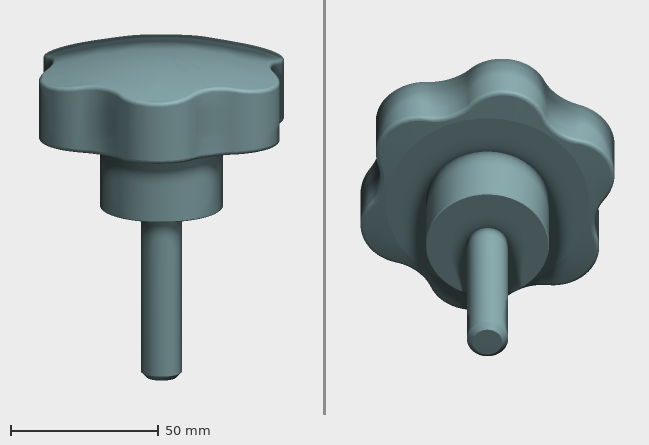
import cadquery as cq
import math

total_height = 115.0
boss_bottom = 60.0
head_bottom = 86.1

shank_diameter = 14.0
shank_chamfer = 2.0
boss_diameter = 42.0
boss_chamfer = 0.3

lobe_count = 6
tip_radius = 45.0
lobe_radius = 15.2
valley_radius = 37.3

top_edge_height = 108.3
underside_edge_height = 87.0
underside_flat_radius = 34.5
top_edge_fillet = 1.4
underside_edge_fillet = 1.4
underside_tolerance = 0.01


def polar(radius, angle):
    """Point at a given distance and angle (radians) from the axis."""
    return (radius * math.cos(angle), radius * math.sin(angle))


def lobed_outline():
    """Closed outline of convex lobes joined by tangent concave arcs."""
    half_pitch = math.pi / lobe_count
    lobe_center = tip_radius - lobe_radius
    along = lobe_center * math.cos(half_pitch)
    across = lobe_center * math.sin(half_pitch)
    gap = valley_radius - along
    scallop_radius = (gap**2 + across**2 - lobe_radius**2) / (2 * (lobe_radius - gap))
    scallop_center = valley_radius + scallop_radius
    lobe_share = lobe_radius / (lobe_radius + scallop_radius)
    joint_x = along + (scallop_center - along) * lobe_share
    joint_y = across * (1 - lobe_share)
    joint_radius = math.hypot(joint_x, joint_y)
    joint_angle = math.atan2(joint_y, joint_x)

    outline = cq.Workplane("XY").workplane(offset=boss_bottom)
    outline = outline.moveTo(*polar(joint_radius, -joint_angle))
    for index in range(lobe_count):
        valley = 2 * half_pitch * index
        lobe = valley + half_pitch
        next_valley = lobe + half_pitch
        outline = outline.threePointArc(
            polar(valley_radius, valley), polar(joint_radius, valley + joint_angle)
        )
        outline = outline.threePointArc(
            polar(tip_radius, lobe), polar(joint_radius, next_valley - joint_angle)
        )
    return outline.close()


def grip_envelope():
    """Round body with the domed top and coned underside that bound the grip."""
    sag = total_height - top_edge_height
    dome_radius = (tip_radius**2 + sag**2) / (2 * sag)
    dome = cq.Workplane("XY").sphere(dome_radius).translate((0, 0, total_height - dome_radius))

    envelope_radius = 1.1 * tip_radius
    cone_slope = (underside_edge_height - head_bottom) / (tip_radius - underside_flat_radius)
    rim_height = head_bottom + cone_slope * (envelope_radius - underside_flat_radius)
    profile = cq.Workplane("XZ").polyline(
        [
            (0, head_bottom),
            (underside_flat_radius, head_bottom),
            (envelope_radius, rim_height),
            (envelope_radius, total_height),
            (0, total_height),
        ]
    )
    return profile.close().revolve(360, (0, 0, 0), (0, 1, 0)).intersect(dome)


def make_grip():
    grip = lobed_outline().extrude(total_height - boss_bottom)
    grip = grip.intersect(grip_envelope())
    top_edges = grip.faces("%SPHERE").edges()
    grip = top_edges.fillet(top_edge_fillet)
    cone = grip.faces("%CONE")
    rim_edges = cone.edges().filter(lambda edge: edge.Center().z > head_bottom + underside_tolerance)
    return rim_edges.fillet(underside_edge_fillet)


def make_boss():
    boss = cq.Workplane("XY").workplane(offset=boss_bottom)
    boss = boss.circle(boss_diameter / 2).extrude(head_bottom - boss_bottom)
    return boss.faces("<Z").edges().chamfer(boss_chamfer)


def make_shank():
    shank = cq.Workplane("XY").circle(shank_diameter / 2).extrude(head_bottom)
    return shank.faces("<Z").edges().chamfer(shank_chamfer)


result = make_grip().union(make_boss()).union(make_shank())